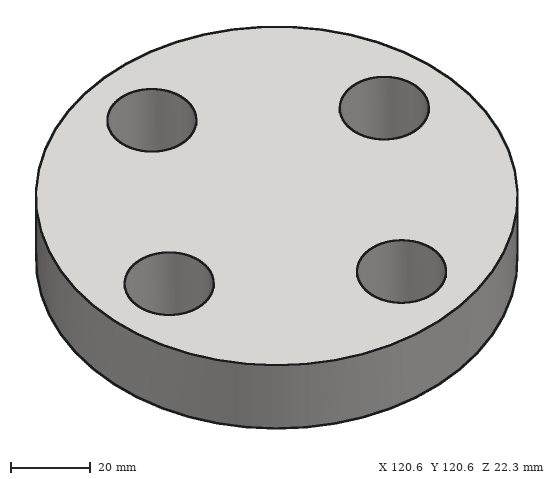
import cadquery as cq

disc_diameter = 120.6
disc_thickness = 22.3
bolt_circle_diameter = 82.5
bolt_hole_diameter = 22.3
bolt_hole_count = 4

disc = cq.Workplane("XY").circle(disc_diameter / 2).extrude(disc_thickness)

result = (
    disc.faces(">Z")
    .workplane()
    .polarArray(bolt_circle_diameter / 2, 0, 360, bolt_hole_count)
    .hole(bolt_hole_diameter)
)